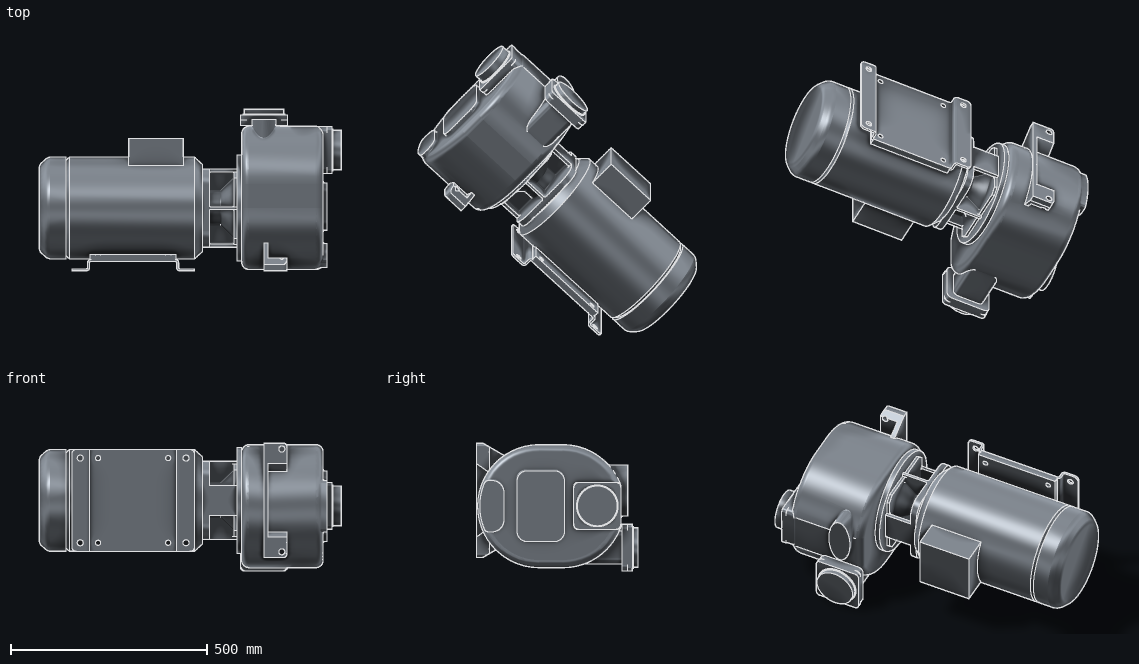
import cadquery as cq
import math


LENGTH = 770.5
FEET_Y = -160.0
OUTLET_TOP_Y = 252.0

SELECTION_MARGIN = 0.4

MOTOR_RADIUS = 130.0
COVER_END_X = 68.5
SHOULDER_X = 77.0
MOTOR_TAPER_X = 396.0
MOTOR_END_X = 417.0
MOTOR_END_RADIUS = 111.0

DOME_FLAT = (0, 102.0)
DOME_EDGE_MIDDLE = (1.5, 109.5)
DOME_CONE_START = (5.5, 115.0)
DOME_CONE_END = (15.0, 123.0)
DOME_SHOULDER_MIDDLE = (21.0, 128.0)
DOME_END_X = 28.0

BOX_START_X = 228.0
BOX_LENGTH = 139.5
BOX_HEIGHT = 142.5
BOX_TOP_Y = 178.0

BASE_CENTER_X = 240.0
BASE_WIDTH = 2 * MOTOR_RADIUS
PAD_HALF_LENGTH = 109.5
PAD_TOP_Y = -119.0
PAD_BOTTOM_Y = -136.0
LEG_OUTER = 116.0
FOOT_OUTER = 156.5
SHEET = 5.5
BEND_RADIUS = 3.0
FOOT_CORNER_RADIUS = 12.0
BASE_HOLE_Z = 108.0
FOOT_HOLE_OFFSET = 135.0
FOOT_HOLE_DIAMETER = 15.5
PAD_HOLE_OFFSET = 89.0
PAD_HOLE_DIAMETER = 13.0

ADAPTER_HALF = 100.0
ADAPTER_FLANGE_END_X = 434.0
ADAPTER_CORNER_RADIUS = 41.0
HUB_RADIUS = 42.0
CONE_START_X = 464.0
CONE_END_RADIUS = 74.0
SQUARE_PAD_X = 497.0
SQUARE_PAD_SIZE = 185.0
SQUARE_PAD_CORNER = 15.5
WEB_THICKNESS = 6.0
SIDE_PLATE_WIDTH = 77.0
SIDE_PLATE_THICKNESS = 8.5
ADAPTER_FILLET = 4.0
DISK_X = 504.0
DISK_RADIUS = 135.5

CASING_START_X = 516.0
CASING_END_X = 724.0
CASING_RADIUS = 157.0
CASING_Z = -15.0
CASING_SHIFT_Y = 60.0
CASING_FLAT_Y = 209.0
CASING_FILLET = 19.0

FLANGE_SIZE = 120.0
FLANGE_OUTER_RADIUS = 11.0
FLANGE_INNER_RADIUS = 15.5
FLANGE_OUTER_THICKNESS = 12.0
PIPE_RADIUS = 51.0
RAISED_FACE_RADIUS = 53.0
RAISED_FACE_HEIGHT = 2.0
OUTLET_X = 573.0
OUTLET_Z = -120.0
OUTLET_FLANGE_Y = 210.0
OUTLET_FLANGE_THICKNESS = 27.0
NECK_SIZE = 85.0
NECK_CORNER_RADIUS = 15.0
INLET_Y = 148.0
INLET_Z = -14.0
INLET_FLANGE_THICKNESS = 22.0

BOSS_Z = 25.5
BOSS_HALF_WIDTH = 30.0
BOSS_HALF_HEIGHT = 65.5
BOSS_TOP_Y = 226.0
BOSS_FILLET = 5.0

COVER_THICKNESS = 10.0
COVER_Y = 4.0
COVER_WIDTH = 121.0
COVER_HEIGHT = 180.0
COVER_CORNER_RADIUS = 25.5
DRAIN_TOP_Y = -90.0
DRAIN_ARC_RADIUS = 152.0
DRAIN_HALF_WIDTH = 65.5
DRAIN_TOP_RADIUS = 30.0
DRAIN_BOTTOM_RADIUS = 11.5
COVER_FILLET = 4.0

BRACKET_START_X = 573.0
BRACKET_PLATE = 11.0
BRACKET_LENGTH = 58.5
BRACKET_TOP_Z = 146.5
BRACKET_BOTTOM_Z = -146.0
BRACKET_EDGE = 16.0
BRACKET_SLOPE = 30
BRACKET_ROOT_Y = -88.5
LUG_BACK_Y = -127.0
LUG_WIDTH = 52.5
LUG_INNER_RISE = 23.0
LUG_CORNER_RADIUS = 9.0
LUG_HOLE_X = 619.0
LUG_HOLE_Z = 131.0
LUG_HOLE_DIAMETER = 15.5


def box(x, y, z):
    """Box from (start, end) pairs along each axis."""
    size = [end - start for start, end in (x, y, z)]
    return cq.Workplane("XY").box(*size, centered=False).translate((x[0], y[0], z[0]))


def plane_across_x(x, y=0, z=0):
    """Sketch plane facing +X, with sketch axes along +Y and +Z."""
    return cq.Workplane(cq.Plane(origin=(x, y, z), xDir=(0, 1, 0), normal=(1, 0, 0)))


def plane_across_y(y, x=0, z=0):
    """Sketch plane facing +Y, with sketch axes along +Z and +X."""
    return cq.Workplane(cq.Plane(origin=(x, y, z), xDir=(0, 0, 1), normal=(0, 1, 0)))


def rounded_block(plane, width, height, thickness, radius):
    """Rectangular plate with rounded corners, standing on a sketch plane."""
    normal = plane.plane.zDir
    edges = cq.selectors.ParallelDirSelector(normal)
    return plane.rect(width, height).extrude(thickness).edges(edges).fillet(radius)


def motor():
    """Turned motor: domed fan cover, groove, body and tapered front end."""
    profile = (
        cq.Workplane("XY")
        .lineTo(*DOME_FLAT)
        .threePointArc(DOME_EDGE_MIDDLE, DOME_CONE_START)
        .lineTo(*DOME_CONE_END)
        .threePointArc(DOME_SHOULDER_MIDDLE, (DOME_END_X, MOTOR_RADIUS))
        .lineTo(COVER_END_X, MOTOR_RADIUS)
        .lineTo(COVER_END_X, MOTOR_RADIUS - (SHOULDER_X - COVER_END_X))
        .lineTo(SHOULDER_X, MOTOR_RADIUS)
        .lineTo(MOTOR_TAPER_X, MOTOR_RADIUS)
        .lineTo(MOTOR_END_X, MOTOR_END_RADIUS)
        .lineTo(MOTOR_END_X, 0)
        .close()
    )
    return profile.revolve(360, (0, 0, 0), (1, 0, 0))


def terminal_box():
    return box(
        (BOX_START_X, BOX_START_X + BOX_LENGTH),
        (0, BOX_TOP_Y),
        (-BOX_HEIGHT / 2, BOX_HEIGHT / 2),
    )


def bent_foot(side):
    """Half of the base sheet: flat under the pad, bent down, then out to the foot."""
    leg_inner = LEG_OUTER - SHEET
    sheet_top_y = PAD_BOTTOM_Y + SHEET
    foot_top_y = FEET_Y + SHEET
    outline = [
        (0, PAD_BOTTOM_Y),
        (leg_inner, PAD_BOTTOM_Y),
        (leg_inner, FEET_Y),
        (FOOT_OUTER, FEET_Y),
        (FOOT_OUTER, foot_top_y),
        (LEG_OUTER, foot_top_y),
        (LEG_OUTER, sheet_top_y),
        (0, sheet_top_y),
    ]
    foot = (
        cq.Workplane("XY")
        .polyline([(side * x, y) for x, y in outline])
        .close()
        .extrude(BASE_WIDTH / 2, both=True)
    )
    bends = [
        (leg_inner, PAD_BOTTOM_Y, BEND_RADIUS),
        (LEG_OUTER, sheet_top_y, BEND_RADIUS + SHEET),
        (leg_inner, FEET_Y, BEND_RADIUS + SHEET),
        (LEG_OUTER, foot_top_y, BEND_RADIUS),
    ]
    for x, y, radius in bends:
        foot = foot.edges(cq.selectors.NearestToPointSelector((side * x, y, 0))).fillet(radius)
    foot_end = ">X" if side > 0 else "<X"
    return foot.faces(foot_end).edges("|Y").fillet(FOOT_CORNER_RADIUS)


def motor_base():
    """Pad under the motor on a bent sheet with a foot at each end."""
    half_width = BASE_WIDTH / 2
    pad_y = (PAD_BOTTOM_Y + SHEET, PAD_TOP_Y)
    base = box((-PAD_HALF_LENGTH, PAD_HALF_LENGTH), pad_y, (-half_width, half_width))
    base = base.union(bent_foot(-1)).union(bent_foot(1))
    for offset, diameter in ((FOOT_HOLE_OFFSET, FOOT_HOLE_DIAMETER), (PAD_HOLE_OFFSET, PAD_HOLE_DIAMETER)):
        holes = (
            plane_across_y(FEET_Y)
            .rect(2 * BASE_HOLE_Z, 2 * offset, forConstruction=True)
            .vertices()
            .circle(diameter / 2)
            .extrude(PAD_TOP_Y - FEET_Y)
        )
        base = base.cut(holes)
    return base.translate((BASE_CENTER_X, 0, 0))


def adapter():
    """Flange, hub with cone, crossed webs, two side plates and the casing disk."""
    body = rounded_block(
        plane_across_x(MOTOR_END_X),
        2 * ADAPTER_HALF,
        2 * ADAPTER_HALF,
        ADAPTER_FLANGE_END_X - MOTOR_END_X,
        ADAPTER_CORNER_RADIUS,
    )
    hub = (
        cq.Workplane("XY")
        .moveTo(MOTOR_END_X, 0)
        .lineTo(MOTOR_END_X, HUB_RADIUS)
        .lineTo(CONE_START_X, HUB_RADIUS)
        .lineTo(SQUARE_PAD_X, CONE_END_RADIUS)
        .lineTo(DISK_X, CONE_END_RADIUS)
        .lineTo(DISK_X, DISK_RADIUS)
        .lineTo(CASING_START_X, DISK_RADIUS)
        .lineTo(CASING_START_X, 0)
        .close()
        .revolve(360, (0, 0, 0), (1, 0, 0))
    )
    square_pad = (
        plane_across_x(SQUARE_PAD_X)
        .rect(SQUARE_PAD_SIZE, SQUARE_PAD_SIZE)
        .extrude(DISK_X - SQUARE_PAD_X)
        .edges("|X")
        .chamfer(SQUARE_PAD_CORNER)
    )
    body = body.union(hub).union(square_pad)
    span = (MOTOR_END_X, DISK_X)
    full = (-ADAPTER_HALF, ADAPTER_HALF)
    half_web = (-WEB_THICKNESS / 2, WEB_THICKNESS / 2)
    body = body.union(box(span, half_web, full)).union(box(span, full, half_web))
    half_plate = SIDE_PLATE_WIDTH / 2
    plate_inner_y = ADAPTER_HALF - SIDE_PLATE_THICKNESS
    for start in (-ADAPTER_HALF, plate_inner_y):
        body = body.union(box(span, (start, start + SIDE_PLATE_THICKNESS), (-half_plate, half_plate)))

    long_reach = plate_inner_y + SELECTION_MARGIN
    hub_reach = (HUB_RADIUS + CONE_END_RADIUS) / 2
    short_reach = half_plate - SELECTION_MARGIN
    reaches = [(long_reach, short_reach), (short_reach, long_reach), (hub_reach, hub_reach)]
    inside = [
        cq.selectors.BoxSelector(
            (ADAPTER_FLANGE_END_X - SELECTION_MARGIN, -y, -z),
            (SQUARE_PAD_X + SELECTION_MARGIN, y, z),
        )
        for y, z in reaches
    ]
    return body.clean().edges(inside[0] + inside[1] + inside[2]).fillet(ADAPTER_FILLET)


def casing():
    """Pump casing with rounded rims and a flat on the +Y side."""
    top_z = CASING_Z + CASING_RADIUS
    bottom_z = CASING_Z - CASING_RADIUS
    flat_y = CASING_FLAT_Y - CASING_SHIFT_Y
    flat_half = math.sqrt(CASING_RADIUS**2 - flat_y**2)
    mid = CASING_RADIUS * math.cos(math.radians(45))
    return (
        plane_across_x(CASING_START_X)
        .moveTo(CASING_SHIFT_Y, top_z)
        .lineTo(0, top_z)
        .threePointArc((-CASING_RADIUS, CASING_Z), (0, bottom_z))
        .lineTo(CASING_SHIFT_Y, bottom_z)
        .threePointArc((CASING_SHIFT_Y + mid, CASING_Z - mid), (CASING_FLAT_Y, CASING_Z - flat_half))
        .lineTo(CASING_FLAT_Y, CASING_Z + flat_half)
        .threePointArc((CASING_SHIFT_Y + mid, CASING_Z + mid), (CASING_SHIFT_Y, top_z))
        .close()
        .extrude(CASING_END_X - CASING_START_X)
        .faces("<X or >X")
        .edges()
        .fillet(CASING_FILLET)
    )


def pipe_flange(plane, thickness, pipe_end):
    """Square flange with a step in its corner radius, and the pipe stub on top."""
    inner_thickness = thickness - FLANGE_OUTER_THICKNESS
    inner = rounded_block(plane, FLANGE_SIZE, FLANGE_SIZE, inner_thickness, FLANGE_INNER_RADIUS)
    outer = rounded_block(
        plane.workplane(offset=inner_thickness),
        FLANGE_SIZE,
        FLANGE_SIZE,
        FLANGE_OUTER_THICKNESS,
        FLANGE_OUTER_RADIUS,
    )
    raised_face = plane.circle(RAISED_FACE_RADIUS).extrude(thickness + RAISED_FACE_HEIGHT)
    pipe = plane.circle(PIPE_RADIUS).extrude(pipe_end)
    return inner.union(outer).union(raised_face).union(pipe)


def outlet():
    """Discharge flange facing +Y on a rounded square neck out of the casing."""
    plane = plane_across_y(OUTLET_FLANGE_Y, OUTLET_X, OUTLET_Z)
    flange = pipe_flange(plane, OUTLET_FLANGE_THICKNESS, OUTLET_TOP_Y - OUTLET_FLANGE_Y)
    neck = rounded_block(
        plane_across_y(CASING_SHIFT_Y, OUTLET_X, OUTLET_Z),
        NECK_SIZE,
        NECK_SIZE,
        OUTLET_FLANGE_Y - CASING_SHIFT_Y,
        NECK_CORNER_RADIUS,
    )
    return flange.union(neck)


def inlet():
    """Suction flange facing +X, rooted in the rounded rim of the casing."""
    root = rounded_block(
        plane_across_x(CASING_END_X - CASING_FILLET, INLET_Y, INLET_Z),
        FLANGE_SIZE,
        FLANGE_SIZE,
        CASING_FILLET,
        FLANGE_INNER_RADIUS,
    )
    plane = plane_across_x(CASING_END_X, INLET_Y, INLET_Z)
    return root.union(pipe_flange(plane, INLET_FLANGE_THICKNESS, LENGTH - CASING_END_X))


def casing_with_filling_boss():
    """Casing with the elliptical boss on its +Y side, blended in at the foot."""
    boss = (
        plane_across_y(CASING_SHIFT_Y, OUTLET_X, BOSS_Z)
        .ellipse(BOSS_HALF_HEIGHT, BOSS_HALF_WIDTH)
        .extrude(BOSS_TOP_Y - CASING_SHIFT_Y)
    )
    foot = cq.selectors.BoxSelector(
        (OUTLET_X - BOSS_HALF_WIDTH, CASING_SHIFT_Y, BOSS_Z - BOSS_HALF_HEIGHT),
        (OUTLET_X + BOSS_HALF_WIDTH, CASING_FLAT_Y + SELECTION_MARGIN, BOSS_Z + BOSS_HALF_HEIGHT),
    )
    return casing().union(boss).edges(foot).edges("not |Y").fillet(BOSS_FILLET)


def end_cover():
    """Raised cover in the middle of the casing end face, rooted below it."""
    return rounded_block(
        plane_across_x(CASING_END_X - CASING_FILLET, COVER_Y, CASING_Z),
        COVER_WIDTH,
        COVER_HEIGHT,
        CASING_FILLET + COVER_THICKNESS,
        COVER_CORNER_RADIUS,
    )


def drain_cover():
    """Raised cover with an arched lower side that follows the casing rim."""
    side_y = -math.sqrt(DRAIN_ARC_RADIUS**2 - DRAIN_HALF_WIDTH**2)
    cover = (
        plane_across_x(CASING_END_X - CASING_FILLET, 0, CASING_Z)
        .moveTo(DRAIN_TOP_Y, DRAIN_HALF_WIDTH)
        .lineTo(side_y, DRAIN_HALF_WIDTH)
        .threePointArc((-DRAIN_ARC_RADIUS, 0), (side_y, -DRAIN_HALF_WIDTH))
        .lineTo(DRAIN_TOP_Y, -DRAIN_HALF_WIDTH)
        .close()
        .extrude(CASING_FILLET + COVER_THICKNESS)
    )
    cover = cover.edges("|X").edges("<Y").fillet(DRAIN_BOTTOM_RADIUS)
    return cover.edges("|X").edges(">Y").fillet(DRAIN_TOP_RADIUS)


def with_blended_cover(body, cover):
    """Join a cover to the casing end and fillet the corner around its foot."""
    limits = cover.val().BoundingBox()
    foot = cq.selectors.BoxSelector(
        (limits.xmin, limits.ymin - SELECTION_MARGIN, limits.zmin - SELECTION_MARGIN),
        (CASING_END_X + SELECTION_MARGIN, limits.ymax + SELECTION_MARGIN, limits.zmax + SELECTION_MARGIN),
    )
    return body.union(cover).edges(foot).edges("not |X").fillet(COVER_FILLET)


def casing_bracket():
    """Upright plate under the casing with a drilled lug at each end."""
    slope = math.tan(math.radians(BRACKET_SLOPE))
    edge_y = FEET_Y + BRACKET_EDGE
    root_drop = slope * (BRACKET_ROOT_Y - edge_y)
    plate = (
        plane_across_x(BRACKET_START_X)
        .polyline(
            [
                (FEET_Y, BRACKET_TOP_Z),
                (edge_y, BRACKET_TOP_Z),
                (BRACKET_ROOT_Y, BRACKET_TOP_Z - root_drop),
                (BRACKET_ROOT_Y, BRACKET_BOTTOM_Z + root_drop),
                (edge_y, BRACKET_BOTTOM_Z),
                (FEET_Y, BRACKET_BOTTOM_Z),
            ]
        )
        .close()
        .extrude(BRACKET_PLATE)
    )
    lug_drop = slope * (LUG_BACK_Y - edge_y)
    for end_z, side in ((BRACKET_TOP_Z, 1), (BRACKET_BOTTOM_Z, -1)):
        inner_z = end_z - side * LUG_WIDTH
        lug = (
            plane_across_x(BRACKET_START_X)
            .polyline(
                [
                    (FEET_Y, end_z),
                    (edge_y, end_z),
                    (LUG_BACK_Y, end_z - side * lug_drop),
                    (LUG_BACK_Y, inner_z - side * LUG_INNER_RISE),
                    (FEET_Y, inner_z),
                ]
            )
            .close()
            .extrude(BRACKET_LENGTH)
        )
        outer_face = ">Z" if side > 0 else "<Z"
        lug = lug.faces(outer_face).edges("|Y and >X").fillet(LUG_CORNER_RADIUS)
        hole = (
            plane_across_y(FEET_Y, LUG_HOLE_X, side * LUG_HOLE_Z)
            .circle(LUG_HOLE_DIAMETER / 2)
            .extrude(LUG_BACK_Y - FEET_Y)
        )
        plate = plate.union(lug.cut(hole))
    return plate


pump_body = casing_with_filling_boss()
for cover in (end_cover(), drain_cover()):
    pump_body = with_blended_cover(pump_body, cover)

result = motor()
for feature in (
    terminal_box(),
    motor_base(),
    adapter(),
    pump_body,
    outlet(),
    inlet(),
    casing_bracket(),
):
    result = result.union(feature)